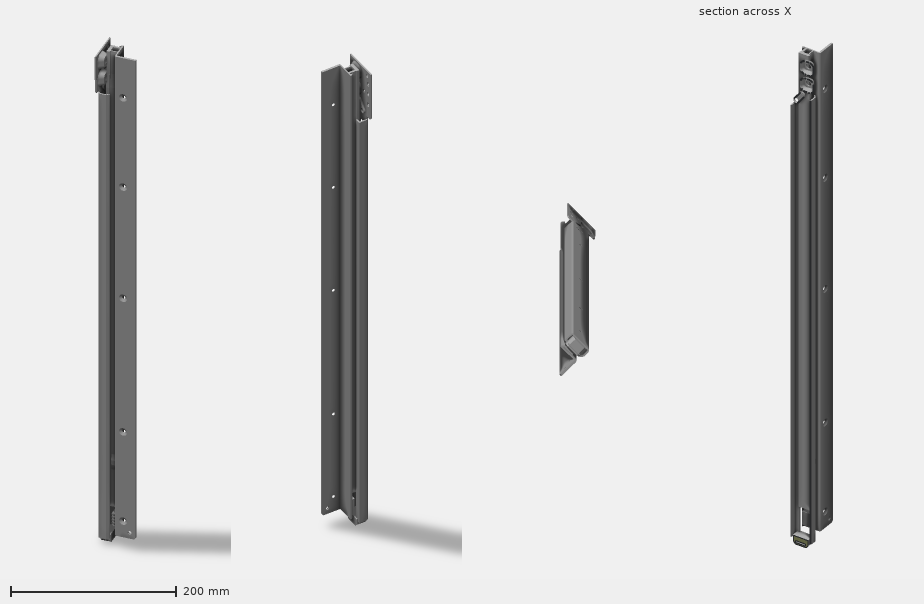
import cadquery as cq
import math

overall_height = 704.0
overall_width = 49.0
bracket_depth = 48.0
sheet = 1.75

narrow_spacing = 128.0
middle_spacing = 160.0
wide_spacing = 192.0

rail_bottom = 8.0
rail_front_top = 646.0
rail_back_top = 629.0
rail_front = 9.0
rail_back = 40.0
rail_front_reach = 15.0
rail_back_reach = 13.5
rail_bend = 3.9
rail_slant_width = 3.9
rail_slant_rise = 3.0
rail_back_lip = 33.0

bracket_front_bottom = 650.0
bracket_back_bottom = 633.5
bracket_corner = 2.0
bracket_step = 1.5
bracket_step_z = 671.0

dish_y = 15.5
dish_heights = (690.5, 666.0)
dish_size = 22.5
dish_corner = 8.5
dish_floor_y = 17.0
dish_floor_size = 15.0
dish_floor_corner = 4.0
dish_height = 8.5
dish_wall = 1.5
dish_hole_radius = 3.5

band_low = (32.0, 639.0)
band_high = (24.0, 649.0)
band_width = 8.5
band_height = 4.0
band_hole_radius = 3.0

bracket_hole_radius = 2.45
bracket_holes = ((39.5, 696.0), (41.5, 669.0), (32.0, 668.0))
bracket_slots = ((41.5, 685.0), (41.5, 653.0))
bracket_slot_length = 6.0
bracket_slot_width = 4.0

rail_hole_y = 25.0
rail_hole_radius = 3.0
rail_hole_low_z = 60.0
rail_slot_y = 27.5
rail_slot_z = 617.0
rail_slot_length = 10.5
rail_slot_width = 6.0

plug_front = 14.0
plug_back = 36.5
plug_right = 15.0
plug_height = 12.0
plug_chamfer = 3.5
plug_slit_x = 11.0
plug_slit_width = 1.5
plug_slit_depth = 2.0
plug_recess_margin = 4.0
plug_recess_low = 3.0
plug_recess_high = 5.0

slide_bottom = 51.0
slide_left = 8.5
slide_waist = 13.0
slide_right = 22.0
head_front = 16.0
head_back = 32.5
waist_front = 18.0
waist_back = 32.0
waist_wall = 3.0
jog_low_z = 652.5
jog_high_z = 671.5
jog_depth = 1.5
bump_left = 15.0
bump_low_z = 104.0
bump_high_z = 126.0
bump_flat = 6.0
bump_height = 2.0

flanged_bottom = 15.5
web_back = 36.5
hem_left = 19.0
hem_front = 34.0
flange_front = 10.0
flange_thickness = 3.0
flange_bend = 2.0
flange_corner = 2.0
screw_x = 33.0
screw_top_z = 647.0
screw_radius = 2.0
screw_head_radius = 5.3
screw_head_depth = 2.0
corner_hole_x = 41.5
corner_hole_z = 24.0
corner_hole_radius = 2.45
stop_left = 15.0
stop_low_z = 22.0
stop_height = 19.0
stop_groove_count = 4
stop_groove_depth = 1.5


def hole_row(first, gaps):
    """Heights of a row of holes, gap by gap; negative gaps step downward."""
    heights = [first]
    for gap in gaps:
        heights.append(heights[-1] + gap)
    return heights


def side_plane(x=0.0):
    """Work plane facing +X, with local axes along Y and Z."""
    return cq.Workplane("YZ", origin=(x, 0, 0))


def block(x_range, y_range, z_range):
    sizes = [high - low for low, high in (x_range, y_range, z_range)]
    corner = (x_range[0], y_range[0], z_range[0])
    return cq.Workplane("XY").box(*sizes, centered=False).translate(corner)




def bracket_plate():
    web_back_y = rail_back - sheet
    web_front_y = rail_front + rail_bend
    return (
        side_plane()
        .moveTo(0, overall_height)
        .lineTo(bracket_depth, overall_height)
        .lineTo(bracket_depth, bracket_back_bottom + bracket_corner)
        .lineTo(bracket_depth - bracket_corner, bracket_back_bottom)
        .lineTo(web_back_y, bracket_back_bottom)
        .lineTo(web_back_y, rail_back_top)
        .lineTo(web_front_y, rail_back_top)
        .lineTo(web_front_y, bracket_front_bottom)
        .lineTo(bracket_step + bracket_corner, bracket_front_bottom)
        .lineTo(bracket_step, bracket_front_bottom + bracket_corner)
        .lineTo(bracket_step, bracket_step_z)
        .lineTo(0, bracket_step_z)
        .close()
        .extrude(sheet)
    )


def rail_front_half():
    """Half of the web, a round bend, the front wall and its slanted edge."""
    slant_start = rail_front_reach - rail_slant_width
    slant_y = rail_front + rail_slant_rise
    inner_front = rail_front + sheet
    bend_centre = rail_front + rail_bend
    return (
        cq.Workplane("XY", origin=(0, 0, rail_bottom))
        .moveTo(0, rail_hole_y)
        .lineTo(0, bend_centre)
        .radiusArc((rail_bend, rail_front), -rail_bend)
        .lineTo(slant_start, rail_front)
        .lineTo(rail_front_reach, slant_y)
        .lineTo(rail_front_reach, slant_y + sheet)
        .lineTo(slant_start, inner_front)
        .lineTo(rail_bend, inner_front)
        .radiusArc((sheet, bend_centre), rail_bend - sheet)
        .lineTo(sheet, rail_hole_y)
        .close()
        .extrude(rail_front_top - rail_bottom)
    )


def rail_back_half():
    """Half of the web, the back wall and its inward lip."""
    reach = rail_back_reach
    inner_back = rail_back - sheet
    return (
        cq.Workplane("XY", origin=(0, 0, rail_bottom))
        .moveTo(0, rail_hole_y)
        .lineTo(0, inner_back)
        .lineTo(sheet, rail_back)
        .lineTo(reach, rail_back)
        .lineTo(reach, rail_back_lip)
        .lineTo(reach - sheet, rail_back_lip)
        .lineTo(reach - sheet, inner_back)
        .lineTo(sheet, inner_back)
        .lineTo(sheet, rail_hole_y)
        .close()
        .extrude(rail_back_top - rail_bottom)
    )


def end_plug():
    plug = block((sheet, plug_right), (plug_front, plug_back), (0, plug_height))
    plug = plug.faces("<Z").edges("|X").chamfer(plug_chamfer)
    plug_slit = block(
        (plug_slit_x, plug_slit_x + plug_slit_width), (plug_front, plug_back), (0, plug_slit_depth)
    )
    plug_recess = block(
        (sheet, 2 * sheet),
        (plug_front + plug_recess_margin, plug_back - plug_recess_margin),
        (plug_recess_low, plug_recess_high),
    )
    return plug.cut(plug_slit).cut(plug_recess)


def rounded_square(size, corner):
    return cq.Sketch().rect(size, size).vertices().fillet(corner)


def dish_cone(z, inset, height):
    """Tapered boss from the plate to a smaller floor that sits off centre."""
    base = rounded_square(dish_size - 2 * inset, dish_corner - inset)
    floor = rounded_square(dish_floor_size - 2 * inset, dish_floor_corner - inset)
    floor_place = cq.Location(cq.Vector(dish_floor_y - dish_y, 0, height))
    return side_plane().center(dish_y, z).placeSketch(base, floor.moved(floor_place)).loft(ruled=True)


def add_dish(body, z):
    dish_hole = side_plane().center(dish_floor_y, z).circle(dish_hole_radius).extrude(dish_height)
    body = body.union(dish_cone(z, 0, dish_height))
    body = body.cut(dish_cone(z, dish_wall, dish_height - dish_wall))
    return body.cut(dish_hole)


def band_bar(inset, height):
    """Slanted round-ended bar standing on the bracket plane."""
    run = band_high[0] - band_low[0]
    rise = band_high[1] - band_low[1]
    width = band_width - 2 * inset
    return (
        side_plane()
        .center((band_low[0] + band_high[0]) / 2, (band_low[1] + band_high[1]) / 2)
        .slot2D(math.hypot(run, rise) + width, width, math.degrees(math.atan2(rise, run)))
        .extrude(height)
    )


def add_band(body):
    band_hole = side_plane().center(*band_low).circle(band_hole_radius).extrude(band_height)
    body = body.union(band_bar(0, band_height))
    body = body.cut(band_bar(dish_wall, band_height - sheet))
    return body.cut(band_hole)


def cut_plate_holes(body):
    round_holes = side_plane().pushPoints(bracket_holes).circle(bracket_hole_radius).extrude(sheet)
    slots = (
        side_plane()
        .pushPoints(bracket_slots)
        .slot2D(bracket_slot_length, bracket_slot_width, 90)
        .extrude(sheet)
    )
    return body.cut(round_holes).cut(slots)


def cut_web_holes(body):
    heights = hole_row(rail_hole_low_z, (narrow_spacing, middle_spacing, wide_spacing))
    places = [(rail_hole_y, z) for z in heights]
    round_holes = side_plane().pushPoints(places).circle(rail_hole_radius).extrude(sheet)
    slot = (
        side_plane().center(rail_slot_y, rail_slot_z).slot2D(rail_slot_length, rail_slot_width).extrude(sheet)
    )
    return body.cut(round_holes).cut(slot)


def make_outer_rail():
    body = bracket_plate().union(rail_front_half()).union(rail_back_half()).union(end_plug())
    for z in dish_heights:
        body = add_dish(body, z)
    body = add_band(body)
    body = cut_plate_holes(body)
    return cut_web_holes(body)




def jogged_bar(x_range, front, back):
    """Full-length bar whose front face steps back slightly near its top."""
    return (
        side_plane(x_range[0])
        .moveTo(front, slide_bottom)
        .lineTo(back, slide_bottom)
        .lineTo(back, overall_height)
        .lineTo(front + jog_depth, overall_height)
        .lineTo(front + jog_depth, jog_high_z)
        .lineTo(front, jog_low_z)
        .close()
        .extrude(x_range[1] - x_range[0])
    )


def slide_bump():
    """Trapezoid bump on the front wall."""
    slope = (bump_high_z - bump_low_z - bump_flat) / 2
    bump_front = waist_front - bump_height
    return (
        side_plane(bump_left)
        .moveTo(waist_front, bump_low_z)
        .lineTo(bump_front, bump_low_z + slope)
        .lineTo(bump_front, bump_high_z - slope)
        .lineTo(waist_front, bump_high_z)
        .close()
        .extrude(slide_right - bump_left)
    )


def make_slide():
    waist = (slide_waist, slide_right)
    head = jogged_bar((slide_left, slide_waist), head_front, head_back)
    front_wall = jogged_bar(waist, waist_front, waist_front + waist_wall)
    back_wall = block(waist, (waist_back - waist_wall, waist_back), (slide_bottom, overall_height))
    return head.union(front_wall).union(back_wall).union(slide_bump())




def flanged_profile():
    """Hem, web and flange as one bent sheet."""
    left = slide_right
    right = slide_right + sheet
    inner_y = flange_front + flange_thickness
    return (
        cq.Workplane("XY", origin=(0, 0, flanged_bottom))
        .moveTo(hem_left, hem_front)
        .lineTo(left, hem_front)
        .lineTo(left, flange_front + flange_bend)
        .radiusArc((left + flange_bend, flange_front), -flange_bend)
        .lineTo(overall_width, flange_front)
        .lineTo(overall_width, inner_y)
        .lineTo(right, inner_y)
        .lineTo(right, web_back)
        .lineTo(left, web_back)
        .close()
        .extrude(overall_height - flanged_bottom)
    )


def screw_hole(z):
    """Countersunk hole through the flange, entered from the front."""
    front = cq.Workplane("XZ", origin=(screw_x, flange_front, z))
    shank = front.circle(screw_radius).extrude(-flange_thickness)
    cone = cq.Solid.makeCone(
        screw_head_radius,
        screw_radius,
        screw_head_depth,
        pnt=cq.Vector(screw_x, flange_front, z),
        dir=cq.Vector(0, 1, 0),
    )
    return shank.union(cq.Workplane(cone))


def ribbed_stop():
    """Block on the web below the slide, with evenly spaced grooves across its front."""
    rib = stop_height / (2 * stop_groove_count + 1)
    stop = block((stop_left, slide_right), (waist_front, waist_back), (stop_low_z, stop_low_z + stop_height))
    for index in range(stop_groove_count):
        low = stop_low_z + (2 * index + 1) * rib
        groove_y = (waist_front, waist_front + stop_groove_depth)
        stop = stop.cut(block((stop_left, slide_right), groove_y, (low, low + rib)))
    return stop


def make_flanged_rail():
    body = flanged_profile()
    body = body.faces(">X").edges("<Z").chamfer(flange_corner)
    spacings = (narrow_spacing, middle_spacing, wide_spacing, narrow_spacing)
    for z in hole_row(screw_top_z, [-gap for gap in spacings]):
        body = body.cut(screw_hole(z))
    corner_hole = (
        cq.Workplane("XZ", origin=(corner_hole_x, flange_front, corner_hole_z))
        .circle(corner_hole_radius)
        .extrude(-flange_thickness)
    )
    return body.cut(corner_hole).union(ribbed_stop())


outer_rail = make_outer_rail()
slide = make_slide()
flanged_rail = make_flanged_rail()
result = cq.Compound.makeCompound([outer_rail.val(), slide.val(), flanged_rail.val()])